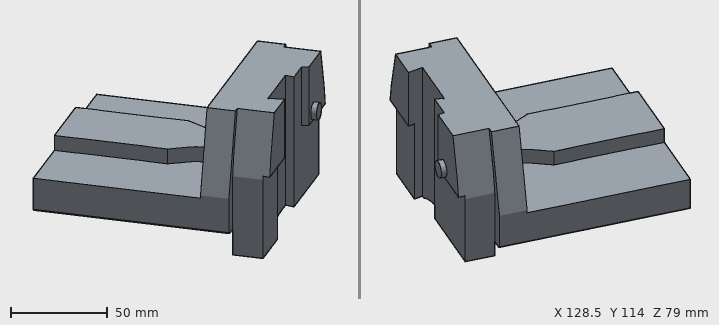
import cadquery as cq
import math

LENGTH = 128.5
WIDTH = 114.0
HEIGHT = 79.0

PLATE_LENGTH = 105.5
PLATE_BOTTOM = 14.4
PLATE_TOP = 32.9
PLATE_CHAMFER = 1.0

WALL_FRONT = 90.2
WALL_TAPER_START = 34.3
WALL_TOP_WIDTH = 90.5

RAIL_TOP = 41.2
RAIL_HALF_WIDTH = 19.1
RAIL_INSET = 0.3
INSET_START = 11.5
INSET_END = 51.0
INSET_RAMP = 3.5
NECK_SLOPE_START = 61.0
NECK_RADIUS = 12.5
NECK_HALF_WIDTH = 11.6

BLOCK_BACK = 125.4
BLOCK_WIDTH = 100.2
BLOCK_SHOULDER_Z = 44.2
BLOCK_KNEE_Z = 55.6
BLOCK_KNEE_WIDTH = 96.4
BLOCK_TOP_WIDTH = 83.5
FOOT_RISE = 5.9
FOOT_END_Y = -23.3
LOWER_BACK = 121.8
LOWER_BACK_TOP = 46.1

SLOT_FLOOR = 116.9
SLOT_FLOOR_Y = (-24.9, 6.5)
SLOT_MOUTH_Y = -23.0
LEDGE_INNER_Y = 5.7
LEDGE_FLOOR_Y = 19.4
LEDGE_MOUTH_Y = 20.3

PIN_DIAMETER = 9.3
PIN_Y = 28.4
PIN_Z = 51.1


def box(x_range, y_range, z_range):
    """Box spanning the given (low, high) ranges."""
    sizes = [high - low for low, high in (x_range, y_range, z_range)]
    corner = (x_range[0], y_range[0], z_range[0])
    return cq.Workplane("XY").box(*sizes, centered=False).translate(corner)


def make_plate():
    plate = box((0, PLATE_LENGTH), (-WIDTH / 2, WIDTH / 2), (PLATE_BOTTOM, PLATE_TOP))
    return plate.edges("|X and <Z").chamfer(PLATE_CHAMFER)


def make_wall():
    outline = [
        (-WIDTH / 2, PLATE_TOP),
        (WIDTH / 2, PLATE_TOP),
        (WIDTH / 2, WALL_TAPER_START),
        (WALL_TOP_WIDTH / 2, HEIGHT),
        (-WALL_TOP_WIDTH / 2, HEIGHT),
        (-WIDTH / 2, WALL_TAPER_START),
    ]
    wall = cq.Workplane("YZ", origin=(WALL_FRONT, 0, 0)).polyline(outline).close()
    return wall.extrude(PLATE_LENGTH - WALL_FRONT)


def make_half_rail():
    """The +Y half of the rail; its neck is an arc tangent to the slope and to the wall."""
    center_x = WALL_FRONT - NECK_RADIUS
    center_y = NECK_HALF_WIDTH + NECK_RADIUS

    run_x = center_x - NECK_SLOPE_START
    run_y = center_y - RAIL_HALF_WIDTH
    distance = math.hypot(run_x, run_y)
    slope_angle = math.atan2(run_y, run_x) - math.asin(NECK_RADIUS / distance)
    slope_length = math.sqrt(distance**2 - NECK_RADIUS**2)
    tangent_point = (
        NECK_SLOPE_START + slope_length * math.cos(slope_angle),
        RAIL_HALF_WIDTH + slope_length * math.sin(slope_angle),
    )

    inset_half_width = RAIL_HALF_WIDTH - RAIL_INSET
    half = (
        cq.Workplane("XY", origin=(0, 0, PLATE_TOP))
        .moveTo(0, 0)
        .lineTo(0, RAIL_HALF_WIDTH)
        .lineTo(INSET_START, RAIL_HALF_WIDTH)
        .lineTo(INSET_START + INSET_RAMP, inset_half_width)
        .lineTo(INSET_END - INSET_RAMP, inset_half_width)
        .lineTo(INSET_END, RAIL_HALF_WIDTH)
        .lineTo(NECK_SLOPE_START, RAIL_HALF_WIDTH)
        .lineTo(*tangent_point)
        .threePointArc((center_x, NECK_HALF_WIDTH), (WALL_FRONT, center_y))
        .lineTo(WALL_FRONT, 0)
        .close()
    )
    return half.extrude(RAIL_TOP - PLATE_TOP)


def make_block():
    half_width = BLOCK_WIDTH / 2
    half_knee = BLOCK_KNEE_WIDTH / 2
    half_top = BLOCK_TOP_WIDTH / 2

    foot_radius = (FOOT_END_Y**2 + FOOT_RISE**2) / (2 * FOOT_RISE)
    half_sweep = math.asin(-FOOT_END_Y / foot_radius) / 2
    foot_middle = (
        -foot_radius * math.sin(half_sweep),
        FOOT_RISE - foot_radius * (1 - math.cos(half_sweep)),
    )

    block = (
        cq.Workplane("YZ", origin=(PLATE_LENGTH, 0, 0))
        .moveTo(half_width, FOOT_RISE)
        .lineTo(half_width, BLOCK_SHOULDER_Z)
        .lineTo(half_knee, BLOCK_KNEE_Z)
        .lineTo(half_top, HEIGHT)
        .lineTo(-half_top, HEIGHT)
        .lineTo(-half_knee, BLOCK_KNEE_Z)
        .lineTo(-half_width, BLOCK_SHOULDER_Z)
        .lineTo(-half_width, 0)
        .lineTo(FOOT_END_Y, 0)
        .threePointArc(foot_middle, (0, FOOT_RISE))
        .close()
        .extrude(BLOCK_BACK - PLATE_LENGTH)
    )
    lower_step = box((LOWER_BACK, BLOCK_BACK), (-half_width, half_width), (0, LOWER_BACK_TOP))
    return block.cut(lower_step).cut(make_slot())


def make_slot():
    outline = [
        (BLOCK_BACK, SLOT_MOUTH_Y),
        (SLOT_FLOOR, SLOT_FLOOR_Y[0]),
        (SLOT_FLOOR, SLOT_FLOOR_Y[1]),
        (LOWER_BACK, LEDGE_INNER_Y),
        (LOWER_BACK, LEDGE_FLOOR_Y),
        (BLOCK_BACK, LEDGE_MOUTH_Y),
    ]
    return cq.Workplane("XY").polyline(outline).close().extrude(HEIGHT)


def make_pin():
    pin = cq.Workplane("YZ", origin=(BLOCK_BACK, PIN_Y, PIN_Z)).circle(PIN_DIAMETER / 2)
    return pin.extrude(LENGTH - BLOCK_BACK)


half_rail = make_half_rail()
result = (
    make_plate()
    .union(make_wall())
    .union(half_rail)
    .union(half_rail.mirror("XZ"))
    .union(make_block())
    .union(make_pin())
)